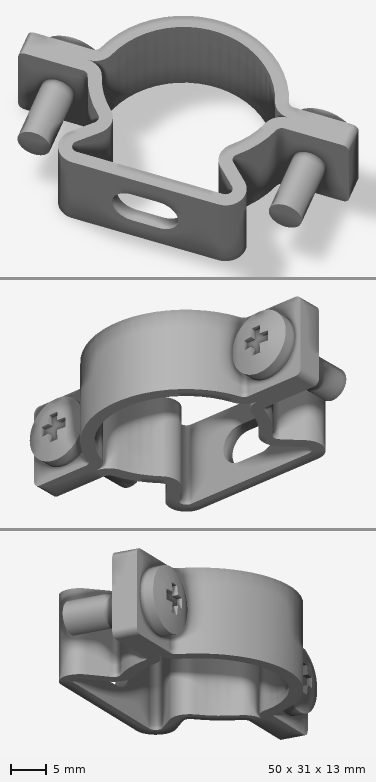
import cadquery as cq
import math

thickness = 2.0
width = 13.0
bend_inner_radius = 1.0
bend_mid_radius = bend_inner_radius + thickness / 2

ring_outer_radius = 15.0
ring_mid_radius = ring_outer_radius - thickness / 2
ring_centre_offset = 2.0

flange_end_x = 25.0
flange_corner_radius = 1.0

waist_angle = -45.7
leg_angle = 45.0
base_bottom_y = -18.0
slot_length = 10.0
slot_height = 6.0

bolt_x = 19.0
shank_diameter = 5.0
shank_protrusion = 10.0
head_diameter = 10.0
head_side_height = 2.1
dome_height = 0.85
recess_span = 4.5
recess_arm_width = 1.6
recess_depth = 1.0

flange_mid_y = thickness / 2
flange_bend_y = thickness + bend_inner_radius
bend_centre_distance = ring_mid_radius + bend_mid_radius
flange_bend_rise = flange_bend_y + ring_centre_offset
flange_bend_x = math.sqrt(bend_centre_distance**2 - flange_bend_rise**2)
flange_bend_angle = math.degrees(math.asin(flange_bend_rise / bend_centre_distance))

waist_bend_x = bend_centre_distance * math.cos(math.radians(waist_angle))
waist_bend_y = ring_centre_offset + bend_centre_distance * math.sin(math.radians(waist_angle))

base_bend_y = base_bottom_y + thickness / 2 + bend_mid_radius
leg_sine = math.sin(math.radians(leg_angle))
leg_cosine = math.cos(math.radians(leg_angle))
leg_length = (waist_bend_y - base_bend_y - 2 * bend_mid_radius * leg_cosine) / leg_sine
base_bend_x = waist_bend_x + leg_length * leg_cosine - 2 * bend_mid_radius * leg_sine


def polar(centre, radius, degrees):
    """Point at an angle on a circle."""
    angle = math.radians(degrees)
    return (centre[0] + radius * math.cos(angle), centre[1] + radius * math.sin(angle))


def add_arc(path, centre, radius, start, end):
    """Continue a path along a circle between two angles."""
    return path.threePointArc(polar(centre, radius, (start + end) / 2), polar(centre, radius, end))


def sweep_symmetric(path, start):
    """Sweep the strip section along the right-hand path, which leaves X = 0 along +X, and mirror it."""
    section = cq.Workplane("YZ", origin=(start[0], start[1], 0)).rect(thickness, width)
    half = section.sweep(path)
    return half.union(half.mirror("YZ"))


def round_flange_corners(strip):
    """Round the outer corners of both flanges."""
    return strip.faces("<X or >X").edges("|Y").fillet(flange_corner_radius)


def make_upper_clamp():
    """Arched strap with a flange on each side."""
    ring_centre = (0, -ring_centre_offset)
    start = polar(ring_centre, ring_mid_radius, 90)
    path = cq.Workplane("XY").moveTo(*start)
    path = add_arc(path, ring_centre, ring_mid_radius, 90, flange_bend_angle)
    path = add_arc(path, (flange_bend_x, flange_bend_y), bend_mid_radius, 180 + flange_bend_angle, 270)
    path = path.lineTo(flange_end_x, flange_mid_y)
    return round_flange_corners(sweep_symmetric(path, start))


def make_lower_clamp():
    """Strap with a dovetail-shaped saddle, a slotted flat base and a flange on each side."""
    ring_centre = (0, ring_centre_offset)
    base_bend = (base_bend_x, base_bend_y)
    waist_bend = (waist_bend_x, waist_bend_y)
    start = (0, base_bend_y - bend_mid_radius)
    path = cq.Workplane("XY").moveTo(*start).lineTo(base_bend_x, start[1])
    path = add_arc(path, base_bend, bend_mid_radius, -90, leg_angle)
    path = path.lineTo(*polar(waist_bend, bend_mid_radius, 180 + leg_angle))
    path = add_arc(path, waist_bend, bend_mid_radius, 180 + leg_angle, 180 + waist_angle)
    path = add_arc(path, ring_centre, ring_mid_radius, waist_angle, -flange_bend_angle)
    path = add_arc(path, (flange_bend_x, -flange_bend_y), bend_mid_radius, 180 - flange_bend_angle, 90)
    path = path.lineTo(flange_end_x, -flange_mid_y)
    strip = round_flange_corners(sweep_symmetric(path, start))

    slot = (
        cq.Workplane("XZ", origin=(0, base_bottom_y, 0))
        .slot2D(slot_length, slot_height)
        .extrude(-thickness)
    )
    return strip.cut(slot)


def make_bolt_blank(x):
    """Solid of revolution: shank through both flanges, round head and domed top."""
    head_radius = head_diameter / 2
    shank_radius = shank_diameter / 2
    shank_end_y = -thickness - shank_protrusion
    head_top_y = thickness + head_side_height
    dome_radius = (head_radius**2 + dome_height**2) / (2 * dome_height)
    dome_centre = (0, head_top_y + dome_height - dome_radius)
    dome_edge_angle = math.degrees(math.acos(head_radius / dome_radius))

    half_section = (
        cq.Workplane("XY")
        .moveTo(0, shank_end_y)
        .lineTo(shank_radius, shank_end_y)
        .lineTo(shank_radius, thickness)
        .lineTo(head_radius, thickness)
        .lineTo(head_radius, head_top_y)
    )
    half_section = add_arc(half_section, dome_centre, dome_radius, dome_edge_angle, 90).close()
    return half_section.revolve(360, (0, 0, 0), (0, 1, 0)).translate((x, 0, 0))


def make_cross_recess(x):
    """Cross-shaped driver recess sunk from the top of the dome."""
    top_y = thickness + head_side_height + dome_height
    plane = cq.Workplane("XZ", origin=(x, top_y, 0))
    arm_along_x = plane.rect(recess_span, recess_arm_width).extrude(recess_depth)
    arm_along_z = plane.rect(recess_arm_width, recess_span).extrude(recess_depth)
    return arm_along_x.union(arm_along_z)


upper_clamp = make_upper_clamp()
lower_clamp = make_lower_clamp()
bolts = []
for x in (-bolt_x, bolt_x):
    blank = make_bolt_blank(x)
    upper_clamp = upper_clamp.cut(blank)
    lower_clamp = lower_clamp.cut(blank)
    bolts.append(blank.cut(make_cross_recess(x)))

result = cq.Compound.makeCompound(
    [upper_clamp.solids().val(), lower_clamp.solids().val(), *[bolt.solids().val() for bolt in bolts]]
)